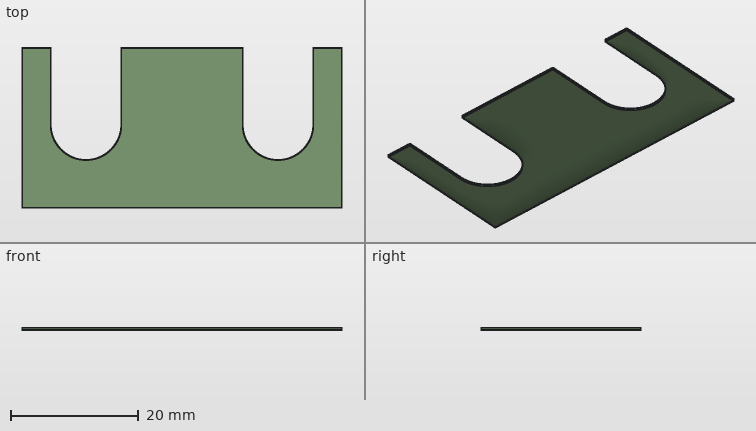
import cadquery as cq

plate_length = 50.0
plate_width = 25.0
plate_thickness = 0.38

slot_width = 11.0
slot_spacing = 30.0
slot_floor = 7.5

slot_radius = slot_width / 2
back_edge_y = plate_width / 2
slot_arc_y = -plate_width / 2 + slot_floor + slot_radius


def make_plate():
    return cq.Workplane("XY").box(plate_length, plate_width, plate_thickness)


def make_slot_cutter(center_x):
    """U-shaped cutter through the plate, open at the +Y edge."""
    left_x = center_x - slot_radius
    right_x = center_x + slot_radius
    return (
        cq.Workplane("XY")
        .moveTo(left_x, back_edge_y)
        .lineTo(left_x, slot_arc_y)
        .threePointArc((center_x, slot_arc_y - slot_radius), (right_x, slot_arc_y))
        .lineTo(right_x, back_edge_y)
        .close()
        .extrude(plate_thickness, both=True)
    )


result = make_plate()
for slot_x in (-slot_spacing / 2, slot_spacing / 2):
    result = result.cut(make_slot_cutter(slot_x))